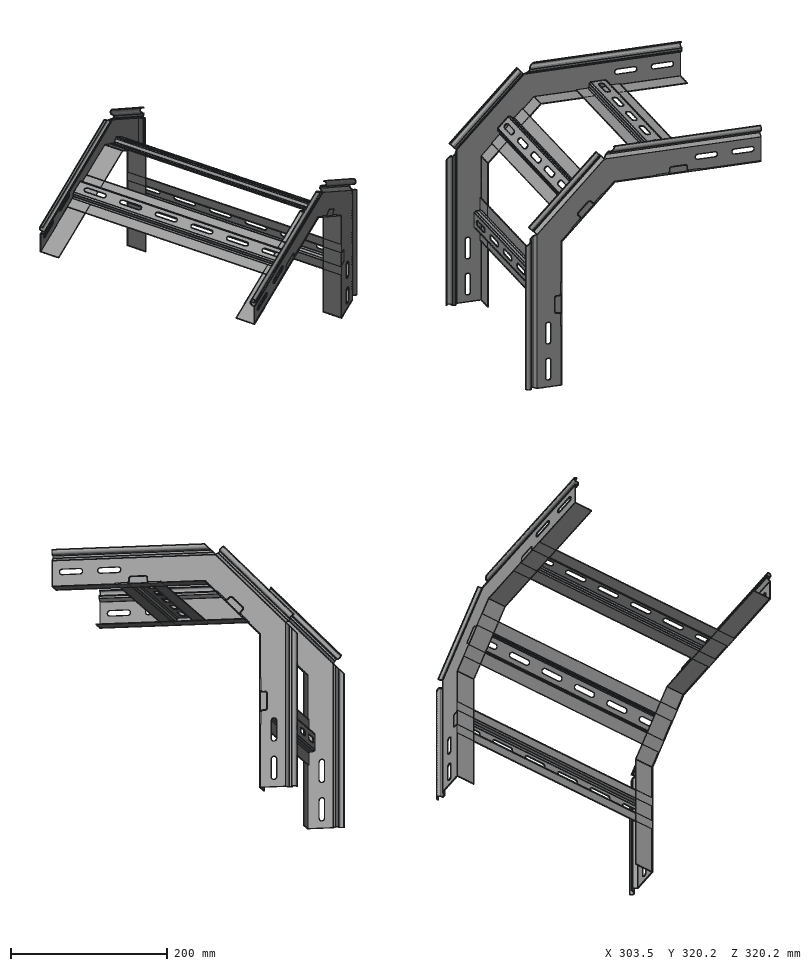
import cadquery as cq
import math

overall_width = 303.5
overall_size = 320.2
sheet = 1.0
half_width = overall_width / 2
half_size = overall_size / 2

web_inset = 1.3
web_height = 34.3
bead_height = 14.7
flange_width = 27.2
straight_start = 106.5
rail_height = web_height + bead_height
bend_angle = 45.0
half_bend_slope = math.tan(math.radians(bend_angle / 2))
bend_shift = web_height * half_bend_slope

roll_radius = 4.0
roll_tip = 4.8
neck_inner = 7.5
neck_top = 8.3
neck_bottom = 11.0
neck_outer = neck_inner - sheet
neck_slope = math.atan2(neck_outer - web_inset, bead_height - neck_bottom)
neck_miter = sheet * math.tan(neck_slope / 2)

rung_from_end = 112.5
rung_height = 9.3
rung_crown_half = 12.5
rung_foot_half = 29.8
crown_bend = 2.2
foot_bend = 1.5

slot_length = 30.0
slot_width = 7.0
slot_pitch = 50.0
rail_slot_from_end = 24.5
rail_slot_from_top = 30.0
rail_slot_count = 2
rung_slot_count = 6
rung_slot_shift = 1.0


def side_point(from_back, from_top):
    """Point in the YZ plane measured from the overall back and top limits."""
    return (half_size - from_back, half_size - from_top)


def rail_band(depth):
    """Bent strip in YZ reaching from the flange face towards the bead by the given depth."""
    def corner_at(from_top):
        return straight_start + (from_top - bead_height) * half_bend_slope

    outer = rail_height - depth
    inner = rail_height
    points = [
        side_point(overall_size, outer),
        side_point(corner_at(outer), outer),
        side_point(outer, corner_at(outer)),
        side_point(outer, overall_size),
        side_point(inner, overall_size),
        side_point(inner, corner_at(inner)),
        side_point(corner_at(inner), inner),
        side_point(overall_size, inner),
    ]
    return cq.Workplane("YZ").polyline(points).close()


def bead(length):
    """Left rail bead of the given length, hanging from the top limit and running from Y = 0 to -Y."""
    web_outer = web_inset
    web_inner = web_inset + sheet
    inner_radius = roll_radius - sheet
    profile = (
        cq.Workplane("XZ")
        .moveTo(roll_tip, 0)
        .lineTo(roll_radius, 0)
        .threePointArc((0, -roll_radius), (roll_radius, -2 * roll_radius))
        .lineTo(neck_outer, -neck_top)
        .lineTo(neck_outer, -neck_bottom)
        .lineTo(web_outer, -bead_height)
        .lineTo(web_outer, -bead_height - neck_miter)
        .lineTo(web_inner, -bead_height - neck_miter)
        .lineTo(neck_inner, -neck_bottom - neck_miter)
        .lineTo(neck_inner, -neck_top + sheet)
        .lineTo(roll_radius, -2 * roll_radius + sheet)
        .threePointArc((roll_radius - inner_radius, -roll_radius), (roll_radius, -sheet))
        .lineTo(roll_tip, -sheet)
        .close()
    )
    return profile.extrude(length).translate((-half_width, 0, half_size))


def mirrored_arm(shape):
    """Swap the horizontal arm for the vertical arm by mirroring in the plane Y = Z."""
    return shape.mirror("XY").rotate((0, 0, 0), (1, 0, 0), 90)


def straight_bead():
    """Bead of the horizontal arm, cut back at 45 degrees next to the bend."""
    outline = [
        side_point(straight_start - neck_miter, bead_height + neck_miter),
        side_point(overall_size, bead_height + neck_miter),
        side_point(overall_size, 0),
        side_point(straight_start + bead_height, 0),
    ]
    trim = cq.Workplane("YZ").polyline(outline).close().extrude(overall_width, both=True)
    return bead(overall_size).translate((0, half_size, 0)).intersect(trim)


def diagonal_bead():
    """Square-ended bead over the 45 degree section, between the two bends."""
    length = math.sqrt(2) * (straight_start - bead_height)
    start_y, start_z = side_point(bead_height, straight_start)
    level_bead = bead(length).translate((0, 0, bead_height - half_size))
    return level_bead.rotate((0, 0, 0), (1, 0, 0), -bend_angle).translate((0, start_y, start_z))


def straight_rail_slots():
    centers = [
        side_point(overall_size - rail_slot_from_end - i * slot_pitch, rail_slot_from_top)
        for i in range(rail_slot_count)
    ]
    slots = cq.Workplane("YZ").pushPoints(centers).slot2D(slot_length, slot_width)
    return slots.extrude(overall_width, both=True)


def rail():
    web_plane = -half_width + web_inset
    web = rail_band(web_height).extrude(sheet)
    flange = rail_band(sheet).extrude(flange_width - web_inset)
    body = web.union(flange).translate((web_plane, 0, 0))
    arm_bead = straight_bead()
    body = body.union(arm_bead).union(mirrored_arm(arm_bead)).union(diagonal_bead())
    slots = straight_rail_slots()
    return body.cut(slots).cut(mirrored_arm(slots))


def rung():
    """Hat-section rung along X with the foot undersides on Z = 0."""
    inset = sheet * half_bend_slope
    outer_half = [
        (rung_foot_half, sheet),
        (rung_crown_half + foot_bend, sheet),
        (rung_crown_half, sheet + foot_bend),
        (rung_crown_half, rung_height - crown_bend),
        (rung_crown_half - crown_bend, rung_height),
    ]
    inner_half = [
        (rung_crown_half - crown_bend - inset, rung_height - sheet),
        (rung_crown_half - sheet, rung_height - crown_bend - inset),
        (rung_crown_half - sheet, sheet + foot_bend - inset),
        (rung_crown_half + foot_bend - inset, 0),
        (rung_foot_half, 0),
    ]
    outer = outer_half + [(-y, z) for y, z in reversed(outer_half)]
    inner = [(-y, z) for y, z in reversed(inner_half)] + inner_half
    length = overall_width - 2 * (web_inset + sheet)
    hat = cq.Workplane("YZ").polyline(outer + inner).close().extrude(length / 2, both=True)
    slots = (
        cq.Workplane("XY")
        .center(rung_slot_shift, 0)
        .rarray(slot_pitch, 3.2, rung_slot_count, 1)
        .slot2D(slot_length, slot_width)
        .extrude(rung_height)
    )
    return hat.cut(slots)


def placed_rungs():
    """One rung on each straight arm and one mid-diagonal, all resting on the flanges."""
    straight = side_point(overall_size - rung_from_end, rail_height - sheet)
    flange_offset = (straight_start + bend_shift + rail_height) / 2
    middle_offset = flange_offset - sheet * math.cos(math.radians(bend_angle))
    middle = side_point(middle_offset, middle_offset)
    placements = [
        (0, straight),
        (-bend_angle, middle),
        (-2 * bend_angle, straight[::-1]),
    ]
    return [
        rung().rotate((0, 0, 0), (1, 0, 0), angle).translate((0, y, z))
        for angle, (y, z) in placements
    ]


left_rail = rail()
result = left_rail.union(left_rail.mirror("YZ"))
for cross_rung in placed_rungs():
    result = result.union(cross_rung)